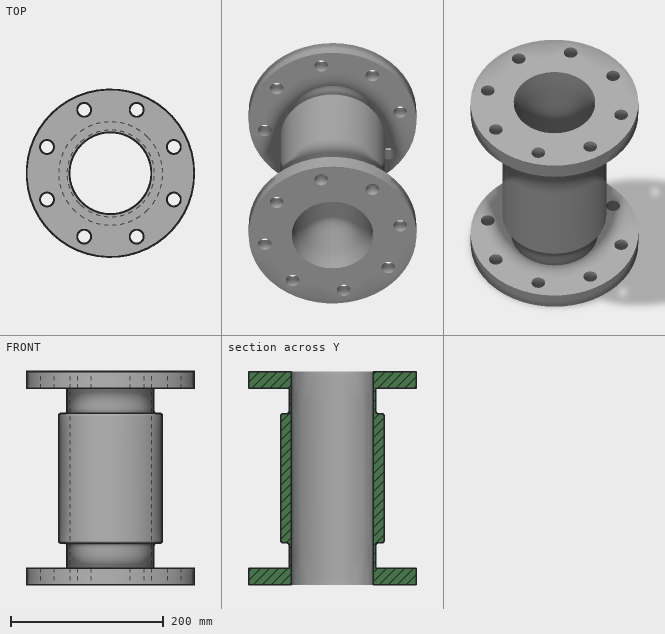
import cadquery as cq

total_length = 280.0

flange_diameter = 220.0
flange_thickness = 22.0
bolt_circle_diameter = 180.0
bolt_hole_diameter = 18.0
bolt_hole_count = 8
first_bolt_angle = 360 / bolt_hole_count / 2

pipe_diameter = 114.2
bore_diameter = 107.0
sleeve_diameter = 136.0
sleeve_length = 170.0
edge_radius = 3.0


def cylinder(diameter, length, bottom):
    """Solid cylinder on the Z axis, standing on the height `bottom`."""
    return cq.Workplane("XY").workplane(offset=bottom).circle(diameter / 2).extrude(length)


def sleeved_pipe():
    """Pipe with a centred sleeve, rounded on its rims and where it meets the pipe."""
    sleeve_bottom = (total_length - sleeve_length) / 2
    pipe = cylinder(pipe_diameter, total_length, 0)
    sleeve = cylinder(sleeve_diameter, sleeve_length, sleeve_bottom)
    sleeve_ends = pipe.union(sleeve).faces("%PLANE").faces("not(<Z or >Z)")
    return sleeve_ends.edges("%CIRCLE").fillet(edge_radius)


def flange(bottom):
    """Flat flange with a ring of bolt holes."""
    bolt_holes = (
        cq.Workplane("XY")
        .workplane(offset=bottom)
        .polarArray(bolt_circle_diameter / 2, first_bolt_angle, 360, bolt_hole_count)
        .circle(bolt_hole_diameter / 2)
        .extrude(flange_thickness)
    )
    return cylinder(flange_diameter, flange_thickness, bottom).cut(bolt_holes)


body = sleeved_pipe()
for flange_bottom in (0, total_length - flange_thickness):
    body = body.union(flange(flange_bottom))

result = body.cut(cylinder(bore_diameter, total_length, 0))